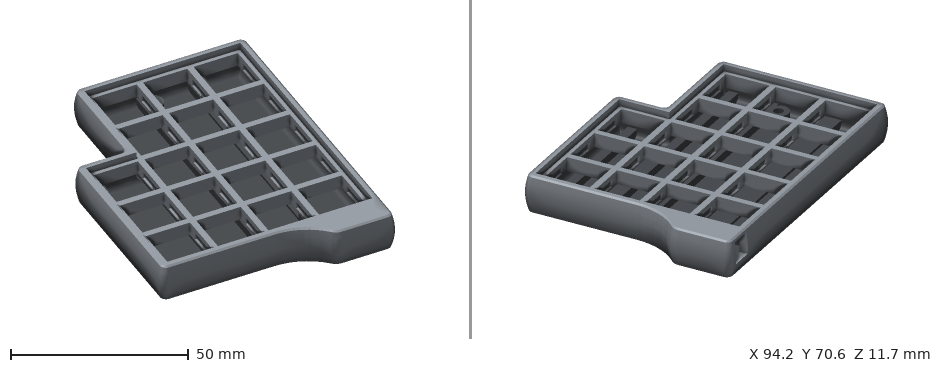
import cadquery as cq
import math

key_pitch = 16.0
key_hole = 14.0
columns = 5
rows = 4
front_row_skipped = 2

plate_margin = 1.2
plate_corner_radius = 0.5
plate_height = 4.4
plate_drop = 2.0
clip_width = 8.1
clip_height = 2.3
clip_depth = 0.8
clip_drop = 1.7

case_length = 94.2
case_height = 11.7
plate_gap = 0.4
wall = 2.7
side_bulge = 0.85
rim_chamfer = 0.5
corner_radius = 2.0
pod_corner_radius = 4.0
floor = 1.0
cove_radius = 2.0

pod_length = 19.0
neck_radius = 19.8
pod_roof = 1.2
port_width = 6.8
port_bottom = 3.6

rest_height = 2.5
low_rest_height = 0.85
rest_width = 3.0
narrow_rest_width = 1.4
rear_rest_width = 5.3
rear_rest_front = 15.2
middle_rest_front = 31.5
front_rest_front = 46.0
last_rest_front = 61.0
rear_notch_start = 14.3
rear_notch_end = 71.3
rear_block_end = 79.35
rear_rest_end = 82.0
boss_diameter = 6.5
screw_diameter = 3.0
boss_side_inset = 2.1
boss_front_inset = 2.0

opening_margin = plate_margin + plate_gap
case_margin = opening_margin + wall
grid_right = (columns - 1) * key_pitch / 2 + key_hole / 2
grid_rear = (rows - 1) * key_pitch / 2 + key_hole / 2
notch_x = front_row_skipped * key_pitch - grid_right
notch_y = key_pitch - grid_rear
case_left = -grid_right - case_margin
case_right = grid_right + case_margin
case_rear = grid_rear + case_margin
pod_right = case_left + case_length
opening_right = grid_right + opening_margin
opening_rear = grid_rear + opening_margin
neck_angle = math.radians(45)
neck_overhang = pod_right - case_right - neck_radius * (1 - math.cos(neck_angle))
neck_y = case_rear - pod_length - neck_overhang / math.tan(neck_angle) - neck_radius * math.sin(neck_angle)
plate_top = case_height - plate_drop
plate_bottom = plate_top - plate_height


def key_centers():
    """Centres of all key holes, rear row first."""
    centers = []
    for row in range(rows):
        first = front_row_skipped if row == rows - 1 else 0
        for column in range(first, columns):
            x = (column - (columns - 1) / 2) * key_pitch
            y = ((rows - 1) / 2 - row) * key_pitch
            centers.append((x, y))
    return centers


def box(left, right, front, rear, bottom, top):
    """Block between the given limits."""
    block = cq.Workplane("XY").box(right - left, rear - front, top - bottom, centered=False)
    return block.translate((left, front, bottom))


def grid_outline(margin):
    """L-shaped outline that runs the margin outside the key holes."""
    right = grid_right + margin
    rear = grid_rear + margin
    return cq.Workplane("XY").polyline([
        (-right, rear),
        (right, rear),
        (right, -rear),
        (notch_x - margin, -rear),
        (notch_x - margin, notch_y - margin),
        (-right, notch_y - margin),
    ]).close()


def pod_outline(inset):
    """Pod from the middle of the case to its neck, the inset inside the pod's widest outline."""
    right = pod_right - inset
    rear = case_rear - inset
    side = case_right - inset
    radius = neck_radius + inset
    bend_x = side + radius * (1 - math.cos(neck_angle))
    bend_y = neck_y + radius * math.sin(neck_angle)
    middle_x = side + radius * (1 - math.cos(neck_angle / 2))
    middle_y = neck_y + radius * math.sin(neck_angle / 2)
    corner_y = bend_y + (right - bend_x) / math.tan(neck_angle)
    return (
        cq.Workplane("XY")
        .moveTo(0, rear)
        .lineTo(right, rear)
        .lineTo(right, corner_y)
        .lineTo(bend_x, bend_y)
        .threePointArc((middle_x, middle_y), (side, neck_y))
        .lineTo(0, neck_y)
        .close()
    )


def bulged_bar(width, length):
    """Bar that runs from the origin toward -Y, with its height along Z and both of its sides bulging."""
    half = width / 2
    return (
        cq.Workplane("XY")
        .moveTo(side_bulge - half, 0)
        .lineTo(half - side_bulge, 0)
        .threePointArc((half, case_height / 2), (half - side_bulge, case_height))
        .lineTo(side_bulge - half, case_height)
        .threePointArc((-half, case_height / 2), (side_bulge - half, 0))
        .close()
        .extrude(length)
        .rotate((0, 0, 0), (1, 0, 0), 90)
    )


def bulged_block(left, right, front, rear):
    """Block of full height that bulges on all four sides."""
    width = right - left
    depth = rear - front
    along_y = bulged_bar(width, depth).translate(((left + right) / 2, rear, 0))
    along_x = bulged_bar(depth, width).rotate((0, 0, 0), (0, 0, 1), 90)
    return along_y.intersect(along_x.translate((left, (front + rear) / 2, 0)))


def neck_cutter():
    """Space beside the neck: a waisted disc along the curve and a slanted bar up to the pod corner."""
    disc = (
        cq.Workplane("XZ")
        .lineTo(neck_radius + side_bulge, 0)
        .threePointArc((neck_radius, case_height / 2), (neck_radius + side_bulge, case_height))
        .lineTo(0, case_height)
        .close()
        .revolve(360, (0, 0, 0), (0, 1, 0))
    )
    bar = (
        cq.Workplane("XZ")
        .moveTo(0, 0)
        .lineTo(-neck_radius - side_bulge, 0)
        .threePointArc((-neck_radius, case_height / 2), (-neck_radius - side_bulge, case_height))
        .lineTo(0, case_height)
        .close()
        .extrude(-neck_radius)
        .rotate((0, 0, 0), (0, 0, 1), -math.degrees(neck_angle))
    )
    return disc.union(bar).translate((case_right + neck_radius, neck_y, 0))


def pod_block():
    """Solid pod, ending where its neck meets the straight side of the case."""
    block = bulged_block(0, pod_right, 2 * neck_y - case_rear, case_rear)
    kept = box(0, pod_right, neck_y, case_rear, 0, case_height)
    return block.intersect(kept).cut(neck_cutter())


def rounded_corner(block, x, y, radius):
    """Block with the upright edge nearest to the given corner rounded."""
    edge = cq.selectors.NearestToPointSelector((x, y, case_height / 2))
    return block.edges(edge).fillet(radius)


def case_block():
    """Solid case shape: bulging sides, rounded corners and a chamfered rim."""
    step_x = notch_x - case_margin
    step_y = notch_y - case_margin
    block = bulged_block(case_left, case_right, step_y, case_rear)
    block = block.union(bulged_block(step_x, case_right, -case_rear, case_rear))
    block = block.union(pod_block()).clean()
    corners = [
        (case_left, case_rear),
        (pod_right, case_rear),
        (case_right, -case_rear),
        (step_x, -case_rear),
        (step_x, step_y),
        (case_left, step_y),
    ]
    for x, y in corners:
        block = rounded_corner(block, x, y, corner_radius)
    block = rounded_corner(block, pod_right, case_rear - pod_length, pod_corner_radius)
    return block.faces(">Z").edges().chamfer(rim_chamfer)


def cavity():
    """Open space inside the case, coved along its floor, and the top opening over the keys."""
    room_height = case_height - pod_roof - floor
    room = grid_outline(opening_margin).extrude(room_height)
    pod_room = pod_outline(wall).extrude(room_height)
    room = room.union(pod_room).clean().faces("<Z").edges().fillet(cove_radius)
    opening_z = case_height - pod_roof
    opening = grid_outline(opening_margin).extrude(pod_roof).translate((0, 0, opening_z))
    return room.translate((0, 0, floor)).union(opening)


def full_rest(left, front, width):
    """Board rest across the case, sunk into the floor and the case sides."""
    front_y = grid_rear - front
    right = opening_right + wall / 2
    return box(left, right, front_y, front_y + width, floor / 2, floor + rest_height)


def rear_rest():
    """Rear board rest: lowered between its two high blocks and ramped down towards the pod."""
    left_end = case_left + wall / 2
    notch_start = case_left + rear_notch_start
    notch_end = case_left + rear_notch_end
    sunk = floor / 2
    low = floor + low_rest_height
    high = floor + rest_height
    return (
        cq.Workplane("XZ", origin=(0, grid_rear - rear_rest_front, 0))
        .polyline([
            (left_end, sunk),
            (left_end, high),
            (notch_start, high),
            (notch_start, low),
            (notch_end, low),
            (notch_end, high),
            (case_left + rear_block_end, high),
            (case_left + rear_rest_end, floor),
            (case_left + rear_rest_end, sunk),
        ])
        .close()
        .extrude(-rear_rest_width)
    )


def screw_places():
    """Screw centres in the two end columns of the second row."""
    x = grid_right - boss_side_inset
    y = key_pitch / 2 - key_hole / 2 + boss_front_inset
    return [(-x, y), (x, y)]


def make_case():
    """Case shell with its rests, bosses, screw holes and cable port."""
    case = case_block().cut(cavity())
    case = case.union(rear_rest())
    case = case.union(full_rest(-opening_right - wall / 2, middle_rest_front, narrow_rest_width))
    case = case.union(full_rest(-opening_right - wall / 2, front_rest_front, rest_width))
    case = case.union(full_rest(notch_x - opening_margin - wall / 2, last_rest_front, rest_width))
    sunk = floor / 2
    bosses = (
        cq.Workplane("XY", origin=(0, 0, sunk))
        .pushPoints(screw_places())
        .circle(boss_diameter / 2)
        .extrude(floor + rest_height - sunk)
    )
    screws = (
        cq.Workplane("XY")
        .pushPoints(screw_places())
        .circle(screw_diameter / 2)
        .extrude(floor + rest_height)
    )
    port = box(
        opening_right,
        opening_right + port_width,
        opening_rear - cove_radius,
        case_rear,
        port_bottom,
        case_height - pod_roof,
    )
    return case.union(bosses).cut(screws).cut(port)


def make_plate():
    """Key plate with square key holes and clip slots in their front and rear walls."""
    plate = grid_outline(plate_margin).extrude(plate_height)
    plate = plate.edges("|Z").fillet(plate_corner_radius)
    holes = cq.Workplane("XY").pushPoints(key_centers()).rect(key_hole, key_hole).extrude(plate_height)
    slot_z = plate_height - clip_drop - clip_height
    slots = (
        cq.Workplane("XY", origin=(0, 0, slot_z))
        .pushPoints(key_centers())
        .rect(clip_width, key_hole + 2 * clip_depth)
        .extrude(clip_height)
    )
    return plate.cut(holes).cut(slots).translate((0, 0, plate_bottom))


case = make_case()
plate = make_plate()
result = cq.Compound.makeCompound([case.solids().val(), plate.solids().val()])